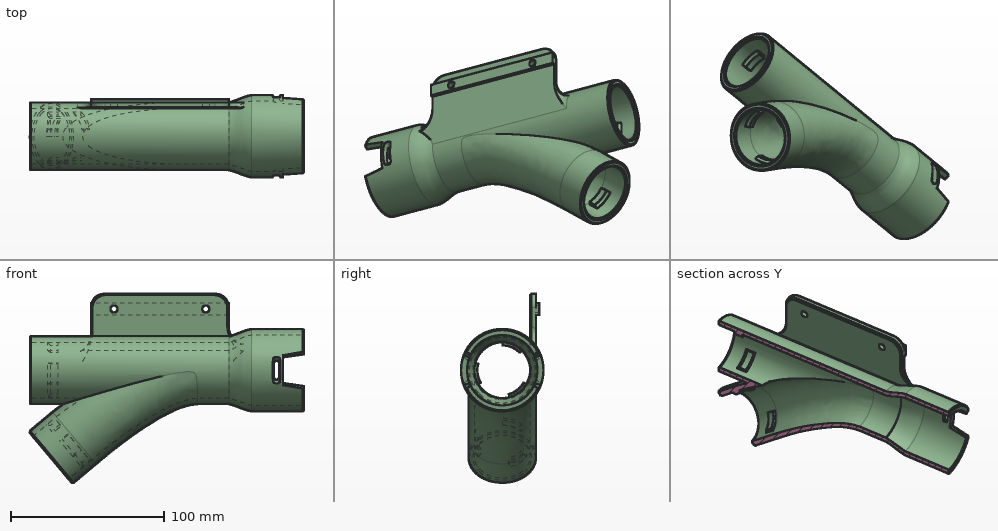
import cadquery as cq
import math

wall = 4.0
tube_diameter = 44.4
tube_bore = tube_diameter - 2 * wall
tube_length = 130.0
rim_chamfer = 0.8
mouth_chamfer = 1.0

cup_diameter = 54.0
cup_bore = cup_diameter - 2 * wall
cup_start = 145.0
part_end = 179.0

widening_start_slope = 0.2
widening_end_slope = 0.15

branch_slimming = 0.04
branch_diameter = tube_diameter - branch_slimming
branch_start = 110.0
branch_angle = math.radians(40.0)
branch_tip_x = 13.68
branch_tip_z = -57.15
branch_straight = 20.0
branch_bend_pull = 55.0
branch_bend_steps = 6
bore_overrun = 1.0

tab_count = 3
tab_span = 45.0
tab_first_angle = 45.0
tab_height = 2.0
tab_root = wall / 2
tab_offset = 11.5
tab_length = 7.0

notch_root = 165.5
notch_root_half_height = 9.4
notch_end_half_height = 12.1
notch_inner_scale = 0.4
notch_outer_scale = 1.2
slot_center = 161.2
slot_outer_length = 19.5
slot_outer_width = 5.2
slot_inner_length = 11.5
slot_inner_width = 2.8
slot_depth = 5.5

plate_start = 40.0
plate_end = 130.0
plate_top = 50.0
plate_corner_radius = 9.0
plate_chamfer = 1.0
plate_back = tube_diameter / 2
plate_front = plate_back - wall
foot_radius = 9.0
foot_root = 3.0
hole_diameter = 4.5
hole_height = 40.0
hole_spacing = 60.0
rib_height = 8.0
rib_thickness = 2.0


def along_x(radius, start, end):
    """Cylinder on the X axis."""
    return cq.Workplane("YZ").workplane(offset=start).circle(radius).extrude(end - start)


def widening(tube_radius, cup_radius):
    """Tube-sized at its start, easing out to the cup size, then straight to the part's end."""
    return (
        cq.Workplane("XZ")
        .moveTo(tube_length, 0)
        .lineTo(tube_length, tube_radius)
        .spline(
            [(cup_start, cup_radius)],
            tangents=[(1, widening_start_slope), (1, widening_end_slope)],
            includeCurrent=True,
        )
        .lineTo(part_end, cup_radius)
        .lineTo(part_end, 0)
        .close()
        .revolve(360, (0, 0, 0), (1, 0, 0))
    )


def place_on_branch(shape):
    """Move a shape made for an end at the origin, opening toward -X, to the branch end."""
    tilt = -math.degrees(branch_angle)
    return shape.rotate((0, 0, 0), (0, 1, 0), tilt).translate((branch_tip_x, 0, branch_tip_z))


def branch_section(radius, t):
    """Section of the bend, upright at t = 0 and square to the tilted straight part at t = 1.

    Every long edge of the bend is a cubic leaving both ends straight, so the sections between
    the ends are ellipses, slightly narrower in the plane of the bend than across it.
    """
    end_weight = t * t * (3 - 2 * t)
    leave_pull = branch_bend_pull * t * (1 - t) ** 2
    arrive_pull = branch_bend_pull * t * t * (1 - t)
    bend_end_x = branch_tip_x + branch_straight * math.cos(branch_angle)
    bend_end_z = branch_tip_z + branch_straight * math.sin(branch_angle)
    center_x = branch_start + end_weight * (bend_end_x - branch_start)
    center_x += arrive_pull * math.cos(branch_angle) - leave_pull
    center_z = end_weight * bend_end_z + arrive_pull * math.sin(branch_angle)
    up_x = -end_weight * math.sin(branch_angle)
    up_z = 1 - end_weight + end_weight * math.cos(branch_angle)
    return cq.Wire.makeEllipse(
        radius,
        radius * math.hypot(up_x, up_z),
        cq.Vector(center_x, 0, center_z),
        cq.Vector(up_z, 0, -up_x),
        cq.Vector(0, 1, 0),
    )


def branch(radius, overrun=0.0):
    """Bend and straight end of the branch as a solid bar."""
    sections = [branch_section(radius, i / branch_bend_steps) for i in range(branch_bend_steps + 1)]
    bend = cq.Workplane(cq.Solid.makeLoft(sections))
    straight = place_on_branch(along_x(radius, -overrun, branch_straight))
    return bend.union(straight)


def branch_with_rim():
    """Branch bar with its open rim chamfered."""
    end_face = cq.selectors.NearestToPointSelector((branch_tip_x, 0, branch_tip_z))
    return branch(branch_diameter / 2).faces(end_face).edges().chamfer(rim_chamfer)


def mouth():
    """Cone that breaks the bore edge of an end at the origin opening toward -X."""
    bore_radius = tube_bore / 2
    return cq.Workplane(
        cq.Solid.makeCone(
            bore_radius + mouth_chamfer,
            bore_radius,
            mouth_chamfer,
            cq.Vector(0, 0, 0),
            cq.Vector(1, 0, 0),
        )
    )


def grip_tabs():
    """Ramped ring pieces standing in from the bore, for an end at the origin opening toward -X."""
    outer = tube_bore / 2 + tab_root
    inner = tube_bore / 2 - tab_height
    tabs = cq.Workplane("XY")
    for i in range(tab_count):
        tab = (
            cq.Workplane("XY")
            .polyline([
                (tab_offset - tab_root, outer),
                (tab_offset + tab_height, inner),
                (tab_offset + tab_length, inner),
                (tab_offset + tab_length, outer),
            ])
            .close()
            .revolve(tab_span, (0, 0, 0), (1, 0, 0))
            .rotate((0, 0, 0), (1, 0, 0), tab_first_angle + i * 360 / tab_count)
        )
        tabs = tabs.union(tab)
    return tabs


def foot(edge_x, side, slope_angle):
    """Round blend between an upright plate edge and the tube skin beside it.

    The skin starts at the edge with the tube radius and rises outward at slope_angle;
    side is -1 toward the open end and 1 toward the cup.
    """
    skin = tube_diameter / 2
    center_x = edge_x + side * foot_radius
    center_r = skin + foot_radius * (math.tan(slope_angle) + 1 / math.cos(slope_angle))

    def on_arc(turn):
        x = center_x - side * foot_radius * math.cos(turn)
        return x, center_r - foot_radius * math.sin(turn)

    sweep = math.pi / 2 + slope_angle
    toe_x, toe_r = on_arc(sweep)
    return (
        cq.Workplane("XY")
        .moveTo(edge_x, skin - foot_root)
        .lineTo(edge_x, center_r)
        .threePointArc(on_arc(sweep / 2), (toe_x, toe_r))
        .lineTo(toe_x, toe_r - foot_root)
        .close()
        .revolve(360, (0, 0, 0), (1, 0, 0))
    )


def plate():
    """Upright plate touching the back of the tube, blended into it at both feet."""
    panel = (
        cq.Workplane("XY")
        .box(plate_end - plate_start, wall, plate_top, centered=False)
        .translate((plate_start, plate_front, 0))
        .edges("|Y and >Z")
        .fillet(plate_corner_radius)
    )
    slab = cq.Workplane("XY").box(part_end, wall, plate_top, centered=False)
    slab = slab.translate((0, plate_front, 0))
    cup_slope = math.atan2((cup_diameter - tube_diameter) / 2, cup_start - tube_length)
    feet = foot(plate_start, -1, 0).union(foot(plate_end, 1, cup_slope))

    skin_height = math.sqrt(plate_back ** 2 - plate_front ** 2)
    exposed = cq.selectors.BoxSelector(
        (0, 0, skin_height + foot_root / 2), (part_end, part_end, 2 * plate_top))
    front_edges = panel.union(feet.intersect(slab)).faces("<Y").edges()
    return front_edges.edges(exposed).chamfer(plate_chamfer)


def rib():
    """Straight rib along the back of the plate, level with the holes."""
    bar = cq.Workplane("XY").box(
        plate_end - plate_start, rib_thickness, rib_height, centered=(False, False, True))
    return bar.translate((plate_start, plate_back, hole_height))


def plate_holes():
    """Two screw holes through plate and rib."""
    middle = (plate_start + plate_end) / 2
    return (
        cq.Workplane("XZ")
        .pushPoints([(middle + side * hole_spacing / 2, hole_height) for side in (-1, 1)])
        .circle(hole_diameter / 2)
        .extrude(-cup_diameter)
    )


def notch(side):
    """Open-ended cut whose walls narrow toward the cup axis."""
    edge_reach = math.sqrt((cup_diameter / 2) ** 2 - notch_end_half_height ** 2)

    def section(scale):
        return (
            cq.Workplane("XZ", origin=(0, side * scale * edge_reach, 0))
            .polyline([
                (notch_root, -notch_root_half_height * scale),
                (part_end, -notch_end_half_height * scale),
                (part_end, notch_end_half_height * scale),
                (notch_root, notch_root_half_height * scale),
            ])
            .close()
            .wires()
            .val()
        )

    return cq.Workplane(
        cq.Solid.makeLoft([section(notch_inner_scale), section(notch_outer_scale)], True))


def slot(side):
    """Upright slot that narrows toward the cup axis."""
    def section(length, width, y):
        return (
            cq.Workplane("XZ", origin=(slot_center, side * y, 0))
            .slot2D(length, width, 90)
            .wires()
            .val()
        )

    outer_y = cup_diameter / 2
    inner = section(slot_inner_length, slot_inner_width, outer_y - slot_depth)
    outer = section(slot_outer_length, slot_outer_width, outer_y)
    return cq.Workplane(cq.Solid.makeLoft([inner, outer], True))


def cup():
    """Hollow widening and cup with a notch and a slot on both Y sides."""
    shell = widening(tube_diameter / 2, cup_diameter / 2).faces(">X").edges().chamfer(rim_chamfer)
    shell = shell.cut(widening(tube_bore / 2, cup_bore / 2))
    for side in (-1, 1):
        shell = shell.cut(notch(side)).cut(slot(side))
    return shell


tube = along_x(tube_diameter / 2, 0, tube_length).faces("<X").edges().chamfer(rim_chamfer)
body = tube.union(branch_with_rim()).union(cup()).union(plate()).union(rib())

body = body.cut(along_x(tube_bore / 2, 0, tube_length))
body = body.cut(widening(tube_bore / 2, cup_bore / 2))
body = body.cut(branch(branch_diameter / 2 - wall, bore_overrun))
body = body.cut(plate_holes())
body = body.cut(mouth()).cut(place_on_branch(mouth()))

result = body.union(grip_tabs()).union(place_on_branch(grip_tabs()))